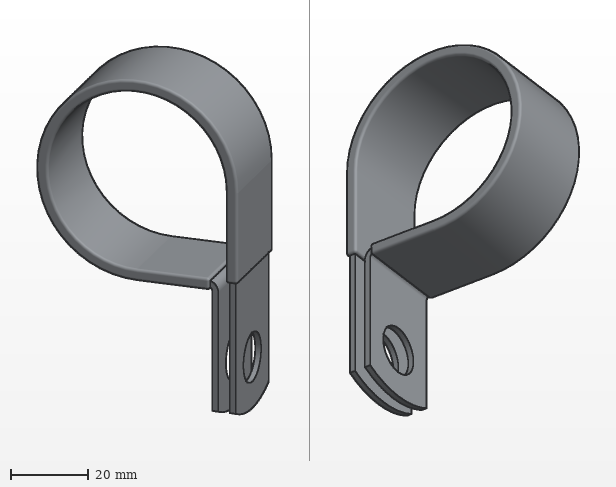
import cadquery as cq

TOTAL_HEIGHT = 92.0
LOOP_DIAMETER = 55.5
SLEEVE_WIDTH = 26.95
STRAP_THICKNESS = 1.7
SLEEVE_COVER = 0.78

LOWER_SLEEVE_END_X = 20.0
OUTER_SLEEVE_END_Z = 39.0
INNER_TAB_FACE_X = 22.2
BEND_INNER_RADIUS = 1.4

HOLE_DIAMETER = 13.5
HOLE_HEIGHT = 14.2
TIP_RISE = 2.9

STRAP_WIDTH = SLEEVE_WIDTH - 2 * SLEEVE_COVER
SLEEVE_RADIUS = LOOP_DIAMETER / 2
LOOP_CENTER_Z = TOTAL_HEIGHT - SLEEVE_RADIUS
STRAP_RADIUS = SLEEVE_RADIUS - SLEEVE_COVER
BEND_OUTER_RADIUS = BEND_INNER_RADIUS + STRAP_THICKNESS


def loop_band(outer_radius, thickness, width, lower_end_x, outer_end_z):
    """Three-quarter ring with a straight run to +X at its bottom and one down its +X side."""
    inner_radius = outer_radius - thickness
    bottom_z = LOOP_CENTER_Z - outer_radius
    diagonal = 0.5 ** 0.5
    outer_mid = (-outer_radius * diagonal, LOOP_CENTER_Z + outer_radius * diagonal)
    inner_mid = (-inner_radius * diagonal, LOOP_CENTER_Z + inner_radius * diagonal)
    return (
        cq.Workplane("XZ", origin=(0, width / 2, 0))
        .moveTo(lower_end_x, bottom_z)
        .lineTo(0, bottom_z)
        .threePointArc(outer_mid, (outer_radius, LOOP_CENTER_Z))
        .lineTo(outer_radius, outer_end_z)
        .lineTo(inner_radius, outer_end_z)
        .lineTo(inner_radius, LOOP_CENTER_Z)
        .threePointArc(inner_mid, (0, bottom_z + thickness))
        .lineTo(lower_end_x, bottom_z + thickness)
        .close()
        .extrude(width)
    )


def make_sleeve():
    """Rubber band around the strap, rounded on its side rims and at both ends."""
    thickness = STRAP_THICKNESS + 2 * SLEEVE_COVER
    mid_radius = SLEEVE_RADIUS - thickness / 2
    band = loop_band(
        SLEEVE_RADIUS,
        thickness,
        SLEEVE_WIDTH,
        LOWER_SLEEVE_END_X,
        OUTER_SLEEVE_END_Z,
    )
    end_face_centers = (
        (LOWER_SLEEVE_END_X, 0, LOOP_CENTER_Z - mid_radius),
        (mid_radius, 0, OUTER_SLEEVE_END_Z),
    )
    edges = band.faces("|Y").edges()
    for center in end_face_centers:
        edges = edges.add(band.faces(cq.selectors.NearestToPointSelector(center)).edges("|Y"))
    return edges.fillet(SLEEVE_COVER)


def make_strap():
    """Flat strap through the sleeve, bent down at its lower end, with both tabs."""
    strap_bottom_z = LOOP_CENTER_Z - STRAP_RADIUS
    strap_top_z = strap_bottom_z + STRAP_THICKNESS
    loop = loop_band(STRAP_RADIUS, STRAP_THICKNESS, STRAP_WIDTH, INNER_TAB_FACE_X, 0)
    inner_leg = (
        cq.Workplane("XY")
        .box(STRAP_THICKNESS, STRAP_WIDTH, strap_top_z, centered=(False, True, False))
        .translate((INNER_TAB_FACE_X - STRAP_THICKNESS, 0, 0))
    )
    strap = loop.union(inner_leg)
    bend_inside = (INNER_TAB_FACE_X - STRAP_THICKNESS, 0, strap_bottom_z)
    bend_outside = (INNER_TAB_FACE_X, 0, strap_top_z)
    strap = strap.edges(cq.selectors.NearestToPointSelector(bend_inside)).fillet(BEND_INNER_RADIUS)
    strap = strap.edges(cq.selectors.NearestToPointSelector(bend_outside)).fillet(BEND_OUTER_RADIUS)
    return strap.intersect(tab_outline())


def tab_outline():
    """Strap outline seen along X: square top, rounded tip and a bolt hole, as a solid block."""
    half_width = STRAP_WIDTH / 2
    return (
        cq.Workplane("YZ")
        .moveTo(-half_width, TOTAL_HEIGHT)
        .lineTo(-half_width, TIP_RISE)
        .threePointArc((0, 0), (half_width, TIP_RISE))
        .lineTo(half_width, TOTAL_HEIGHT)
        .close()
        .moveTo(0, HOLE_HEIGHT)
        .circle(HOLE_DIAMETER / 2)
        .extrude(LOOP_DIAMETER, both=True)
    )


result = make_sleeve().union(make_strap())